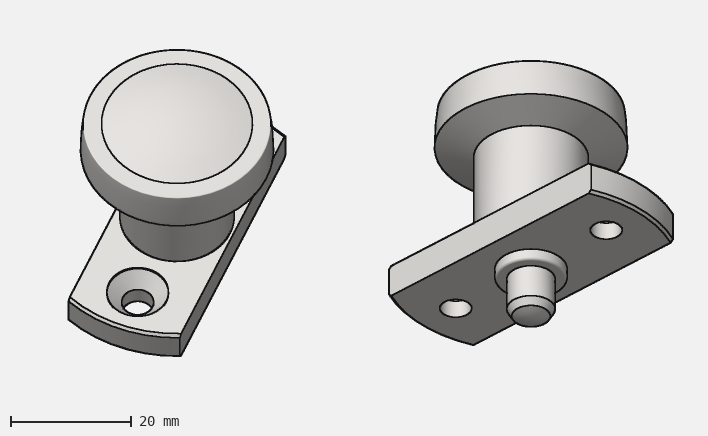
import cadquery as cq
import math

plate_length = 49.85
plate_width = 20.0
plate_thickness = 6.0
plate_end_chamfer = 0.5

hole_spacing = 34.0
hole_diameter = 5.3
countersink_diameter = 10.2
countersink_angle = 90.0
countersink_rim_depth = 0.3

neck_radius = 19.0 / 2
neck_top = 22.3
neck_chamfer = 0.2

knob_radius = 32.0 / 2
knob_top_radius = 15.55
knob_rim_bottom = 24.25
knob_rim_top = 31.25
knob_edge_fillet = 0.2
rim_band_height = 0.55
dome_radius = 12.5
dome_height = 2.3

collar_radius = 12.0 / 2
collar_height = 2.0
collar_fillet = 0.5
pin_radius = 8.0 / 2
pin_shoulder = -7.95
pin_tip_edge = -9.35
pin_tip_radius = 3.2
pin_bottom = -9.95


def cap_point(base_radius, base_z, apex_z):
    """Point halfway along a spherical cap's meridian, between base edge and apex."""
    height = apex_z - base_z
    sphere_radius = (base_radius**2 + height**2) / (2 * abs(height))
    half_angle = math.asin(base_radius / sphere_radius) / 2
    drop = sphere_radius * (1 - math.cos(half_angle))
    return sphere_radius * math.sin(half_angle), apex_z - math.copysign(drop, height)


def make_plate():
    """Bar with round ends centred on the plunger axis, beveled along both end arcs."""
    disc = cq.Workplane("XY").circle(plate_length / 2).extrude(plate_thickness)
    disc = disc.edges().chamfer(plate_end_chamfer)
    bar = cq.Workplane("XY").rect(plate_width, plate_length).extrude(plate_thickness)
    return disc.intersect(bar)


def cut_mounting_holes(body):
    """Countersunk through holes, each with a short straight rim above its cone."""
    centers = [(0, -hole_spacing / 2), (0, hole_spacing / 2)]
    rim_floor = plate_thickness - countersink_rim_depth
    rims = (
        cq.Workplane("XY").workplane(offset=rim_floor).pushPoints(centers)
        .circle(countersink_diameter / 2).extrude(countersink_rim_depth)
    )
    body = body.cut(rims)
    return (
        body.copyWorkplane(cq.Workplane("XY", origin=(0, 0, rim_floor))).pushPoints(centers)
        .cskHole(hole_diameter, countersink_diameter, countersink_angle)
    )


def make_neck():
    neck = (
        cq.Workplane("XY").workplane(offset=plate_thickness)
        .circle(neck_radius).extrude(neck_top - plate_thickness)
    )
    return neck.faces("<Z").edges().chamfer(neck_chamfer)


def make_knob():
    """Conical underside, slightly barrelled rim, flat top ring and shallow dome."""
    barrel_bottom = knob_rim_bottom + rim_band_height
    knob = (
        cq.Workplane("XZ")
        .moveTo(0, neck_top)
        .lineTo(neck_radius, neck_top)
        .lineTo(knob_radius, knob_rim_bottom)
        .lineTo(knob_radius, barrel_bottom)
        .tangentArcPoint((knob_top_radius, knob_rim_top), relative=False)
        .lineTo(0, knob_rim_top)
        .close()
        .revolve(360, (0, 0), (0, 1))
    )
    knob = knob.faces(">Z").edges().fillet(knob_edge_fillet)
    dome_top = knob_rim_top + dome_height
    dome = (
        cq.Workplane("XZ")
        .moveTo(0, knob_rim_top)
        .lineTo(dome_radius, knob_rim_top)
        .threePointArc(cap_point(dome_radius, knob_rim_top, dome_top), (0, dome_top))
        .close()
        .revolve(360, (0, 0), (0, 1))
    )
    return knob.union(dome)


def make_collar():
    collar = cq.Workplane("XY").circle(collar_radius).extrude(-collar_height)
    return collar.faces("<Z").edges().fillet(collar_fillet)


def make_pin():
    """Plunger with a tapered end and a domed tip."""
    return (
        cq.Workplane("XZ")
        .moveTo(0, 0)
        .lineTo(pin_radius, 0)
        .lineTo(pin_radius, pin_shoulder)
        .lineTo(pin_tip_radius, pin_tip_edge)
        .threePointArc(cap_point(pin_tip_radius, pin_tip_edge, pin_bottom), (0, pin_bottom))
        .close()
        .revolve(360, (0, 0), (0, 1))
    )


result = cut_mounting_holes(make_plate())
for section in (make_neck(), make_knob(), make_collar(), make_pin()):
    result = result.union(section)